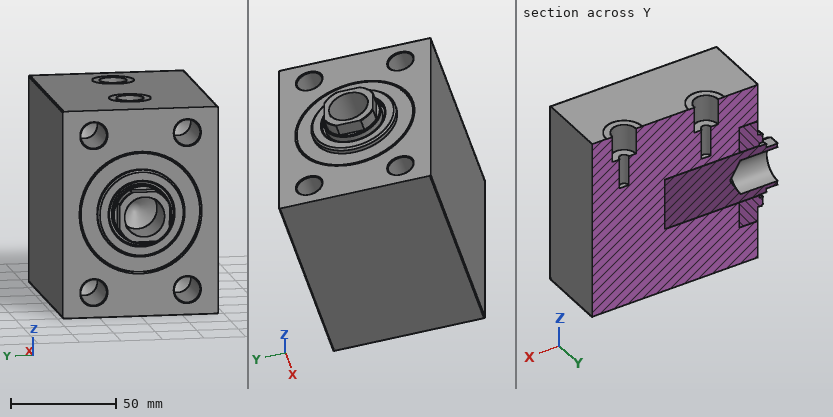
import cadquery as cq
import math

OVERALL_LENGTH = 104.0

BLOCK_LENGTH = 93.0
BLOCK_WIDTH = 75.0
BLOCK_HEIGHT = 100.0
EDGE_CHAMFER = 0.5

FLANGE_DIAMETER = 57.4
SEAT_CHAMFER = 0.8
FLANGE_THICKNESS = 10.4
COLLAR_DIAMETER = 42.0
COLLAR_HEIGHT = 2.9
COLLAR_CHAMFER = 0.9
RECESS_DIAMETER = 31.1
RECESS_DEPTH = 2.1
RECESS_STEP_DIAMETER = 32.0
RECESS_STEP_DEPTH = 0.3

PROTRUSION = OVERALL_LENGTH - BLOCK_LENGTH
ROD_DIAMETER = 28.3
ROD_CHAMFER = 0.5
ROD_DEPTH = 52.0
HEAD_LENGTH = 6.2
HEAD_DIAMETER = 26.9
HEAD_CHAMFER = 0.2
HEAD_FLATS = 24.0
SOCKET_DIAMETER = 19.2
SOCKET_DEPTH = 20.8

DRILL_POINT_ANGLE = 118.0
BOLT_DIAMETER = 12.5
BOLT_MOUTH_CHAMFER = 0.4
BOLT_DEPTH = 26.0
BOLT_SPACING_Y = 45.0
BOLT_SPACING_Z = 75.8

FIRST_PORT_X = 29.0
SECOND_PORT_X = 75.0
SPOT_FACE_DIAMETER = 20.0
SPOT_FACE_DEPTH = 0.1
PORT_DIAMETER = 13.1
PORT_DEPTH = 14.6
PASSAGE_DIAMETER = 5.0
PASSAGE_DEPTH = 31.2


def x_cylinder(diameter, start, end):
    """Cylinder along X, on the rod axis."""
    return cq.Workplane("YZ", origin=(start, 0, 0)).circle(diameter / 2).extrude(end - start)


def drilled_hole(diameter, start, depth, mouth_chamfer=0):
    """Cutter for a hole along +X on the rod axis, with a chamfered or plain mouth and a drill point."""
    radius = diameter / 2
    point = radius / math.tan(math.radians(DRILL_POINT_ANGLE / 2))
    profile = [(0, 0), (0, radius + mouth_chamfer)]
    if mouth_chamfer:
        profile.append((mouth_chamfer, radius))
    profile += [(depth, radius), (depth + point, 0)]
    hole = cq.Workplane("XY").polyline(profile).close().revolve(360, (0, 0), (1, 0))
    return hole.translate((start, 0, 0))


def port(x):
    """Cutter for a spot-faced port with a narrow blind passage below it."""
    top = cq.Workplane("XY", origin=(x, 0, BLOCK_HEIGHT / 2))
    spot_face = top.circle(SPOT_FACE_DIAMETER / 2).extrude(-SPOT_FACE_DEPTH)
    bore = top.circle(PORT_DIAMETER / 2).extrude(-PORT_DEPTH)
    passage = top.circle(PASSAGE_DIAMETER / 2).extrude(-PASSAGE_DEPTH)
    return spot_face.union(bore).union(passage)


def make_block():
    block = cq.Workplane("XY").box(BLOCK_LENGTH, BLOCK_WIDTH, BLOCK_HEIGHT, centered=(False, True, True))
    block = block.edges("|X").chamfer(EDGE_CHAMFER)
    block = block.cut(x_cylinder(FLANGE_DIAMETER, 0, FLANGE_THICKNESS))
    block = block.faces("<X").edges("%CIRCLE").chamfer(SEAT_CHAMFER)
    block = block.cut(x_cylinder(ROD_DIAMETER, 0, ROD_DEPTH))
    bolt_hole = drilled_hole(BOLT_DIAMETER, 0, BOLT_DEPTH, BOLT_MOUTH_CHAMFER)
    for y in (-BOLT_SPACING_Y / 2, BOLT_SPACING_Y / 2):
        for z in (-BOLT_SPACING_Z / 2, BOLT_SPACING_Z / 2):
            block = block.cut(bolt_hole.translate((0, y, z)))
    for x in (FIRST_PORT_X, SECOND_PORT_X):
        block = block.cut(port(x))
    return block


def make_gland():
    flange = x_cylinder(FLANGE_DIAMETER, 0, FLANGE_THICKNESS)
    collar = x_cylinder(COLLAR_DIAMETER, -COLLAR_HEIGHT, 0).faces("<X").chamfer(COLLAR_CHAMFER)
    gland = flange.union(collar)
    gland = gland.cut(x_cylinder(RECESS_STEP_DIAMETER, -COLLAR_HEIGHT, RECESS_STEP_DEPTH - COLLAR_HEIGHT))
    gland = gland.cut(x_cylinder(RECESS_DIAMETER, -COLLAR_HEIGHT, RECESS_DEPTH - COLLAR_HEIGHT))
    return gland.cut(x_cylinder(ROD_DIAMETER, -COLLAR_HEIGHT, FLANGE_THICKNESS))


def make_rod():
    shoulder = HEAD_LENGTH - PROTRUSION
    rod = x_cylinder(ROD_DIAMETER, shoulder, ROD_DEPTH).faces("<X").chamfer(ROD_CHAMFER)
    head = x_cylinder(HEAD_DIAMETER, -PROTRUSION, shoulder).faces("<X").chamfer(HEAD_CHAMFER)
    square = cq.Workplane("YZ", origin=(-PROTRUSION, 0, 0)).rect(HEAD_FLATS, HEAD_FLATS).extrude(HEAD_LENGTH)
    rod = rod.union(head.intersect(square))
    return rod.cut(drilled_hole(SOCKET_DIAMETER, -PROTRUSION, SOCKET_DEPTH))


block = make_block()
gland = make_gland()
rod = make_rod()

result = cq.Compound.makeCompound([block.val(), gland.val(), rod.val()])